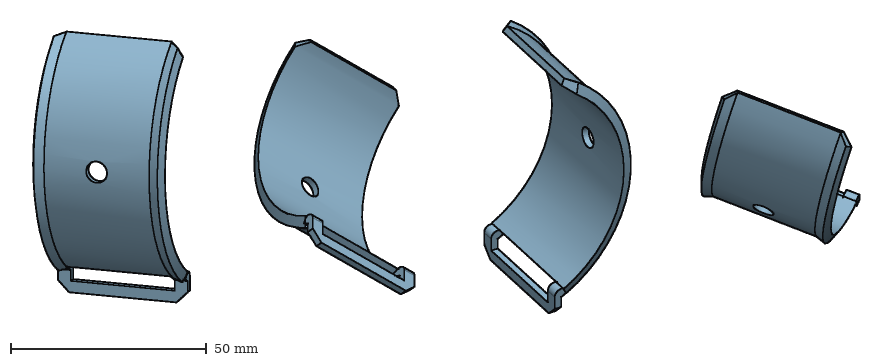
import cadquery as cq
import math

axis_y = -0.15
axis_z = 0.15
inner_radius = 34.6
thickness = 1.95
outer_radius = inner_radius + thickness
half_width = 17.85
top_height = 31.35
top_angle = math.degrees(math.asin((top_height - axis_z) / outer_radius))
bottom_angle = 61.2

lip_start = 14.2
lip_crest = 16.7
lip_radius = 37.4

corner_start = 14.6
corner_lean = 14.0

loop_back = -14.35
loop_front = loop_back - thickness
loop_bottom = -38.65
loop_half_width = 17.5
loop_chamfer = 3.0
slot_half_width = 14.0
slot_bottom = -35.55
bend_start = -32.0
bend_middle = (-14.85, -30.7)
bend_inside = -32.7

edge_inside = (-17.1, -30.25)
edge_outside = (-19.45, -31.1)

hole_diameter = 5.6
overcut = 7.0


def arc_point(radius, angle):
    """Point in the YZ plane, at an angle in degrees above the -Y axis."""
    turn = math.radians(angle)
    return (axis_y - radius * math.cos(turn), axis_z + radius * math.sin(turn))


def curved_plate():
    """Sweep the plate section, lips included, about the X axis."""
    section = (
        cq.Workplane("XY")
        .moveTo(-half_width, -inner_radius)
        .lineTo(-lip_crest, -lip_radius)
        .lineTo(-lip_start, -outer_radius)
        .lineTo(lip_start, -outer_radius)
        .lineTo(lip_crest, -lip_radius)
        .lineTo(half_width, -inner_radius)
        .close()
    )
    plate = section.revolve(top_angle + bottom_angle, (0, 0, 0), (1, 0, 0))
    return plate.rotate((0, 0, 0), (1, 0, 0), -top_angle).translate((0, axis_y, axis_z))


def top_corner_cut(side):
    """Triangular prism through the plate at one upper corner."""
    end_y, end_z = arc_point(inner_radius, top_angle)
    radial = (0, end_y - axis_y, end_z - axis_z)
    end_plane = cq.Plane(origin=(0, end_y, end_z), xDir=(side, 0, 0), normal=radial)
    end_plane = cq.Plane(
        origin=end_plane.toWorldCoords((corner_start, 0, 0)), xDir=end_plane.xDir, normal=end_plane.zDir
    ).rotated((0, -corner_lean, 0))
    down = -side
    corners = [
        (-overcut, -down * overcut),
        (overcut, down * overcut),
        (overcut, -down * overcut),
    ]
    return cq.Workplane(end_plane).polyline(corners).close().extrude(overcut, both=True)


def strap_loop():
    """Flat loop bent off the lower end of the plate, before the slot is cut."""
    plate_inside = arc_point(inner_radius, -bottom_angle)
    plate_outside = arc_point(outer_radius, -bottom_angle)
    profile = (
        cq.Workplane("YZ")
        .moveTo(loop_back, loop_bottom)
        .lineTo(loop_back, bend_start)
        .threePointArc(bend_middle, plate_inside)
        .lineTo(*plate_outside)
        .lineTo(loop_front, bend_inside)
        .lineTo(loop_front, loop_bottom)
        .close()
    )
    loop = profile.extrude(loop_half_width, both=True)
    return loop.faces("<Z").edges("|Y").chamfer(loop_chamfer)


def slot():
    """Slot through the loop and bend, with a sloping upper face on the plate edge."""
    slope = (edge_inside[1] - edge_outside[1]) / (edge_inside[0] - edge_outside[0])
    front = edge_outside[0] - overcut
    back = loop_back + overcut
    profile = [
        (front, slot_bottom),
        (back, slot_bottom),
        (back, edge_inside[1] + slope * (back - edge_inside[0])),
        (front, edge_inside[1] + slope * (front - edge_inside[0])),
    ]
    return cq.Workplane("YZ").polyline(profile).close().extrude(slot_half_width, both=True)


plate = curved_plate()
for side in (-1, 1):
    plate = plate.cut(top_corner_cut(side))

hole = cq.Workplane("XZ").circle(hole_diameter / 2).extrude(lip_radius + overcut)
result = plate.union(strap_loop()).cut(slot()).cut(hole)